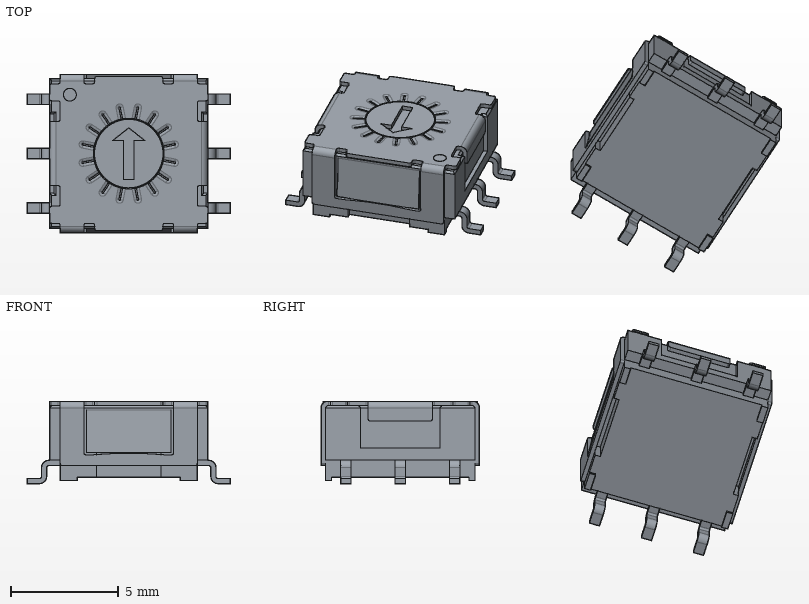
import cadquery as cq
import math

TOP_Z = 3.85
LENGTH_X = 7.4
COVER_Y = 7.4
SHEET = 0.2
BEND_RADIUS = 0.3
CORNER = 0.1

BODY_Y = COVER_Y - 2 * SHEET
BODY_TOP_Z = TOP_Z - SHEET
TOP_CHAMFER = 0.1
SKIRT_Z = 1.1
LOWER_X = 6.4
LOWER_Z = 0.3
FOOT_Z = 0.15
FOOT_X = 0.8
FOOT_Y = 0.3
SIDE_RECESS_Y = 3.7
SIDE_RECESS_Z = 1.675
LATCH_X = 3.96
LATCH_BOTTOM_Z = 1.46
LATCH_TOP_Z = 3.45
SLOT_X = 3.0
SLOT_DEPTH = 0.25

WALL_X = LOWER_X
WALL_BOTTOM_Z = 0.85
WINDOW_X = 4.2
WINDOW_BOTTOM_Z = 1.355
WINDOW_CREST = 0.075
WINDOW_CREST_X = 3.3
SIDE_TAB_Y = 3.0
SIDE_TAB_BOTTOM_Z = 2.93
LIP_X = 3.18
LIP_Y = 7.2
NOTCH_BACK_Y = 3.26
NOTCH_BACK_X = LOWER_X / 2
SIDE_NOTCH_END_Y = 2.46

LEAD_PITCH = 2.54
LEAD_WIDTH = 0.5
LEAD_THICKNESS = 0.25
LEAD_TIP_X = 4.75
LEAD_DROP_X = 4.08
LEAD_INNER_RADIUS = 0.1

DIAL_DIAMETER = 3.2
DIAL_HOLE_DIAMETER = 3.3
DIAL_FLOOR_Z = 1.85
ARROW_DEPTH = 0.2
ARROW_TIP_Y = 1.2
ARROW_HEAD_Y = 0.6
ARROW_TAIL_Y = -1.2
ARROW_HEAD_X = 1.52
ARROW_SHAFT_X = 0.5
GROOVE_COUNT = 16
GROOVE_WIDTH = 0.34
GROOVE_FLOOR_WIDTH = 0.07
GROOVE_DEPTH = 0.045
GROOVE_END_RADIUS = 2.36
DOT_DIAMETER = 0.6
DOT_OFFSET = 2.75
DOT_DEPTH = 0.01


def block(x_size, y_size, z_low, z_high):
    """Box centred on the Z axis between two heights."""
    return cq.Workplane("XY", origin=(0, 0, z_low)).rect(x_size, y_size).extrude(z_high - z_low)


def both_ends(shape):
    """The shape together with its copy turned half a turn about Z."""
    return shape.union(shape.rotate((0, 0, 0), (0, 0, 1), 180))


def moulded_body():
    body = block(LENGTH_X, BODY_Y, SKIRT_Z, BODY_TOP_Z)
    recess = block(SHEET, SIDE_RECESS_Y, SIDE_RECESS_Z, TOP_Z)
    for side in (-1, 1):
        body = body.cut(recess.translate((side * (LENGTH_X - SHEET) / 2, 0, 0)))
    body = body.faces(">Z").chamfer(TOP_CHAMFER)
    body = body.union(block(LOWER_X, BODY_Y, LOWER_Z, SKIRT_Z))
    foot = block(FOOT_X, FOOT_Y, FOOT_Z, LOWER_Z)
    for side_x in (-1, 1):
        for side_y in (-1, 1):
            foot_x = side_x * (LOWER_X - FOOT_X) / 2
            foot_y = side_y * (BODY_Y - FOOT_Y) / 2
            body = body.union(foot.translate((foot_x, foot_y, 0)))
    slot = block(SLOT_X, SLOT_DEPTH, LOWER_Z, LATCH_BOTTOM_Z).translate((0, (BODY_Y - SLOT_DEPTH) / 2, 0))
    return body.cut(both_ends(slot)).union(both_ends(latch()))


def latch():
    """Ramp on the back face that catches the sill of the cover window."""
    face_y = BODY_Y / 2
    return (
        cq.Workplane("YZ")
        .moveTo(face_y, LATCH_TOP_Z)
        .lineTo(face_y + SHEET, LATCH_BOTTOM_Z)
        .lineTo(face_y, LATCH_BOTTOM_Z)
        .close()
        .extrude(LATCH_X / 2, both=True)
    )


def bent_wall(width, bottom_z):
    """Wall on the +Y side, with its bend into the top plate."""
    outer_y = COVER_Y / 2
    bend_y = outer_y - BEND_RADIUS
    bend_z = TOP_Z - BEND_RADIUS
    diagonal = BEND_RADIUS * math.sqrt(0.5)
    wall = (
        cq.Workplane("YZ")
        .moveTo(outer_y, bottom_z)
        .lineTo(outer_y, bend_z)
        .threePointArc((bend_y + diagonal, bend_z + diagonal), (bend_y, TOP_Z))
        .lineTo(bend_y, BODY_TOP_Z)
        .lineTo(outer_y - SHEET, BODY_TOP_Z - TOP_CHAMFER)
        .lineTo(outer_y - SHEET, bottom_z)
        .close()
        .extrude(width / 2, both=True)
    )
    return wall.faces("<Z").edges("|Y").fillet(CORNER)


def window():
    """Opening in the back wall, with a sill that rises in the middle."""
    opening = block(WINDOW_X, COVER_Y, WINDOW_BOTTOM_Z, TOP_Z).edges("<Z and |Y").fillet(CORNER)
    sill = (
        cq.Workplane("XZ")
        .moveTo(-WINDOW_CREST_X / 2, WINDOW_BOTTOM_Z)
        .threePointArc((0, WINDOW_BOTTOM_Z + WINDOW_CREST), (WINDOW_CREST_X / 2, WINDOW_BOTTOM_Z))
        .close()
        .extrude(COVER_Y, both=True)
    )
    return opening.cut(sill)


def top_plate():
    plate_size = COVER_Y - 2 * BEND_RADIUS
    plate = block(plate_size, plate_size, BODY_TOP_Z, TOP_Z)
    plate = plate.union(block(LIP_X, LIP_Y, BODY_TOP_Z, TOP_Z).edges("|Z").fillet(CORNER))
    lug_y = NOTCH_BACK_Y - SIDE_NOTCH_END_Y
    lug_bar = block(LENGTH_X, lug_y, BODY_TOP_Z, TOP_Z).edges("|Z").fillet(CORNER)
    lug_centre_y = (NOTCH_BACK_Y + SIDE_NOTCH_END_Y) / 2

    for side_x in (-1, 1):
        for side_y in (-1, 1):
            for notch in (
                relief_notch(LIP_X / 2, WINDOW_X / 2, NOTCH_BACK_Y, COVER_Y / 2),
                relief_notch(WALL_X / 2, LENGTH_X / 2, NOTCH_BACK_Y, COVER_Y / 2),
                relief_notch(NOTCH_BACK_X, LENGTH_X / 2, SIDE_TAB_Y / 2, SIDE_NOTCH_END_Y),
            ):
                if side_x < 0:
                    notch = notch.mirror("YZ")
                if side_y < 0:
                    notch = notch.mirror("XZ")
                plate = plate.cut(notch)
    for side_y in (-1, 1):
        plate = plate.union(lug_bar.translate((0, side_y * lug_centre_y, 0)))
    return plate


def relief_notch(x_low, x_high, y_low, y_high):
    """Cutter with rounded corners beside a bend of the top plate."""
    notch = block(x_high - x_low, y_high - y_low, BODY_TOP_Z, TOP_Z).edges("|Z").fillet(CORNER)
    return notch.translate(((x_low + x_high) / 2, (y_low + y_high) / 2, 0))


def cover():
    wall = bent_wall(WALL_X, WALL_BOTTOM_Z).cut(window())
    side_tab = bent_wall(SIDE_TAB_Y, SIDE_TAB_BOTTOM_Z).rotate((0, 0, 0), (0, 0, 1), 90)
    return top_plate().union(both_ends(wall)).union(both_ends(side_tab))


def terminal():
    """Gull-wing lead on the +X side, centred on Y = 0."""
    inner = LEAD_INNER_RADIUS
    outer = inner + LEAD_THICKNESS
    upright_inner_x = LEAD_DROP_X - LEAD_THICKNESS
    lead_low_z = SKIRT_Z - LEAD_THICKNESS
    return (
        cq.Workplane("XZ")
        .moveTo(LOWER_X / 2, SKIRT_Z)
        .lineTo(LEAD_DROP_X - outer, SKIRT_Z)
        .radiusArc((LEAD_DROP_X, SKIRT_Z - outer), outer)
        .lineTo(LEAD_DROP_X, outer)
        .radiusArc((LEAD_DROP_X + inner, LEAD_THICKNESS), -inner)
        .lineTo(LEAD_TIP_X, LEAD_THICKNESS)
        .lineTo(LEAD_TIP_X, 0)
        .lineTo(upright_inner_x + outer, 0)
        .radiusArc((upright_inner_x, outer), outer)
        .lineTo(upright_inner_x, lead_low_z - inner)
        .radiusArc((upright_inner_x - inner, lead_low_z), -inner)
        .lineTo(LOWER_X / 2, lead_low_z)
        .close()
        .extrude(LEAD_WIDTH / 2, both=True)
    )


def groove(angle):
    """Radial groove with rounded-over flanks and outer end, open to the dial hole."""
    top_half = GROOVE_WIDTH / 2
    floor_half = GROOVE_FLOOR_WIDTH / 2
    floor_z = TOP_Z - GROOVE_DEPTH
    flank_radius = ((top_half - floor_half) ** 2 + GROOVE_DEPTH ** 2) / (2 * GROOVE_DEPTH)
    half_section = (
        cq.Workplane("YZ")
        .moveTo(0, TOP_Z)
        .lineTo(0, floor_z)
        .lineTo(floor_half, floor_z)
        .radiusArc((top_half, TOP_Z), flank_radius)
        .close()
    )
    end_x = GROOVE_END_RADIUS - top_half
    half_groove = half_section.extrude(end_x)
    rounded_end = half_section.toPending().revolve(360, (0, 0), (0, 1)).translate((end_x, 0, 0))
    cutter = half_groove.union(half_groove.mirror("XZ")).union(rounded_end)
    return cutter.rotate((0, 0, 0), (0, 0, 1), angle)


def cylinder(diameter, z_low):
    return cq.Workplane("XY", origin=(0, 0, z_low)).circle(diameter / 2).extrude(TOP_Z - z_low)


def make_housing():
    housing = moulded_body().union(cover())
    for row in (-1, 0, 1):
        housing = housing.union(both_ends(terminal().translate((0, row * LEAD_PITCH, 0))))
    for index in range(GROOVE_COUNT):
        housing = housing.cut(groove((index + 0.5) * 360 / GROOVE_COUNT))
    housing = housing.cut(cylinder(DIAL_HOLE_DIAMETER, DIAL_FLOOR_Z))
    dot = cylinder(DOT_DIAMETER, TOP_Z - DOT_DEPTH)
    return housing.cut(dot.translate((-DOT_OFFSET, DOT_OFFSET, 0)))


def make_dial():
    arrow = (
        cq.Workplane("XY", origin=(0, 0, TOP_Z))
        .moveTo(0, ARROW_TIP_Y)
        .lineTo(ARROW_HEAD_X / 2, ARROW_HEAD_Y)
        .lineTo(ARROW_SHAFT_X / 2, ARROW_HEAD_Y)
        .lineTo(ARROW_SHAFT_X / 2, ARROW_TAIL_Y)
        .lineTo(-ARROW_SHAFT_X / 2, ARROW_TAIL_Y)
        .lineTo(-ARROW_SHAFT_X / 2, ARROW_HEAD_Y)
        .lineTo(-ARROW_HEAD_X / 2, ARROW_HEAD_Y)
        .close()
        .extrude(-ARROW_DEPTH)
    )
    return cylinder(DIAL_DIAMETER, DIAL_FLOOR_Z).cut(arrow)


housing = make_housing()
dial = make_dial()

result = cq.Compound.makeCompound([housing.val(), dial.val()])